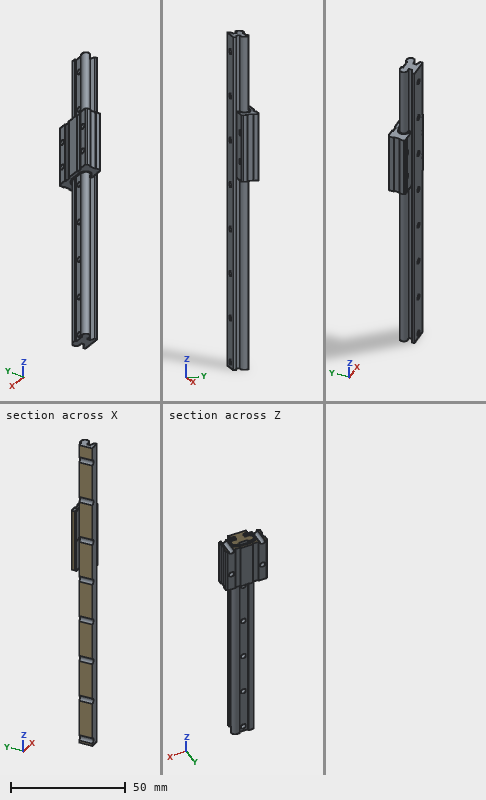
import cadquery as cq

rail_length = 150.0
rail_height = 7.2
total_height = 10.0
hole_diameter = 2.4

base_half_width = 4.4
base_edge_height = 1.2
neck_half_width = 2.1
neck_bottom = 2.1
head_half_width = 5.4
head_radius = 1.8
head_center_y = rail_height - head_radius
head_center_x = head_half_width - head_radius
channel_half_width = 2.1
channel_depth = 0.8

rail_hole_count = 8
first_rail_hole_z = 2.5
last_rail_hole_z = 142.5
rail_hole_pitch = (last_rail_hole_z - first_rail_hole_z) / (rail_hole_count - 1)

carriage_width = 20.0
carriage_length = 30.0
carriage_bottom = 2.0
carriage_center_z = 101.1
corner_chamfer = 0.6
top_groove_inner_x = 3.0
top_groove_outer_x = 5.5
top_groove_depth = 0.5
side_groove_width = 2.7
side_groove_depth = 0.5
mouth_half_width = 2.8
carriage_hole_spacing_x = 15.0
carriage_hole_spacing_z = 13.0
mark_width = 0.3
mark_depth = 0.3

liner_count = 2
liner_thickness = 0.6
liner_clearance = 0.2
roof_half_width = 3.0
roof_rise = 0.5
liner_length = carriage_length / liner_count

liner_inner_radius = head_radius + liner_clearance
liner_outer_radius = liner_inner_radius + liner_thickness
carriage_start_z = carriage_center_z - carriage_length / 2
carriage_mid_y = (carriage_bottom + total_height) / 2


def box(x_min, x_max, y_min, y_max, z_min, length):
    """A block between the given X and Y limits, running up along Z from z_min."""
    return (
        cq.Workplane("XY", origin=((x_min + x_max) / 2, (y_min + y_max) / 2, z_min))
        .rect(x_max - x_min, y_max - y_min)
        .extrude(length)
    )


def head_slot(radius, rise, z_min, length):
    """A slot shape around the rail head, with round ends and a flat roof raised by the given rise."""
    return (
        cq.Workplane("XY", origin=(0, head_center_y, z_min))
        .moveTo(head_center_x, -radius)
        .threePointArc((head_center_x + radius, 0), (head_center_x, radius))
        .lineTo(roof_half_width, radius + rise)
        .lineTo(-roof_half_width, radius + rise)
        .lineTo(-head_center_x, radius)
        .threePointArc((-head_center_x - radius, 0), (-head_center_x, -radius))
        .close()
        .extrude(length)
    )


def cross_holes(points):
    """Round cutters along Y at the given (X, Z) points."""
    return (
        cq.Workplane("XZ", origin=(0, total_height, 0))
        .pushPoints(points)
        .circle(hole_diameter / 2)
        .extrude(total_height)
    )


def make_rail():
    head = head_slot(head_radius, 0, 0, rail_length)
    foot = (
        cq.Workplane("XY")
        .moveTo(-base_half_width, 0)
        .lineTo(base_half_width, 0)
        .lineTo(base_half_width, base_edge_height)
        .lineTo(neck_half_width, neck_bottom)
        .lineTo(neck_half_width, head_center_y)
        .lineTo(-neck_half_width, head_center_y)
        .lineTo(-neck_half_width, neck_bottom)
        .lineTo(-base_half_width, base_edge_height)
        .close()
        .extrude(rail_length)
    )
    channel = box(
        -channel_half_width, channel_half_width, rail_height - channel_depth, rail_height, 0, rail_length
    )
    hole_points = [(0, first_rail_hole_z + i * rail_hole_pitch) for i in range(rail_hole_count)]
    return head.union(foot).cut(channel).cut(cross_holes(hole_points))


def carriage_grooves():
    """Shallow grooves along Z, one pair in the +Y face and one in each of the two sides."""
    half_width = carriage_width / 2
    side_y_min = carriage_mid_y - side_groove_width / 2
    side_y_max = carriage_mid_y + side_groove_width / 2
    top_y_min = total_height - top_groove_depth
    top = box(
        top_groove_inner_x, top_groove_outer_x, top_y_min, total_height, carriage_start_z, carriage_length
    )
    side = box(
        half_width - side_groove_depth, half_width, side_y_min, side_y_max, carriage_start_z, carriage_length
    )
    right = top.union(side)
    return right.union(right.mirror("YZ"))


def liner_tunnel():
    """Round-ended tunnel for the liners, open to the underside through a narrower mouth."""
    tunnel = head_slot(liner_outer_radius, roof_rise, carriage_start_z, carriage_length)
    return tunnel.union(mouth(carriage_start_z, carriage_length))


def mouth(z_min, length):
    """The opening on the underside, through which the rail neck passes."""
    return box(-mouth_half_width, mouth_half_width, carriage_bottom, head_center_y, z_min, length)


def marking_line():
    """Fine V-shaped line on the underside, through the hole axes of the -X side."""
    return (
        cq.Workplane("XY", origin=(-carriage_hole_spacing_x / 2, carriage_bottom, carriage_start_z))
        .moveTo(-mark_width / 2, 0)
        .lineTo(mark_width / 2, 0)
        .lineTo(0, mark_depth)
        .close()
        .extrude(carriage_length)
    )


def make_carriage():
    half_width = carriage_width / 2
    block = box(-half_width, half_width, carriage_bottom, total_height, carriage_start_z, carriage_length)
    block = block.edges("|Z").chamfer(corner_chamfer)
    hole_points = [
        (x * carriage_hole_spacing_x / 2, carriage_center_z + z * carriage_hole_spacing_z / 2)
        for x in (-1, 1)
        for z in (-1, 1)
    ]
    block = block.cut(carriage_grooves()).cut(liner_tunnel())
    return block.cut(cross_holes(hole_points)).cut(marking_line())


def make_liner(z_min):
    """A C-shaped liner around the rail head, filling half the carriage length from z_min upwards."""
    ring = head_slot(liner_outer_radius, roof_rise, z_min, liner_length)
    ring = ring.cut(head_slot(liner_inner_radius, roof_rise, z_min, liner_length))
    return ring.cut(mouth(z_min, liner_length))


rail = make_rail()
carriage = make_carriage()
liners = [make_liner(carriage_start_z + i * liner_length) for i in range(liner_count)]

result = cq.Compound.makeCompound([rail.val(), carriage.val(), *[liner.val() for liner in liners]])